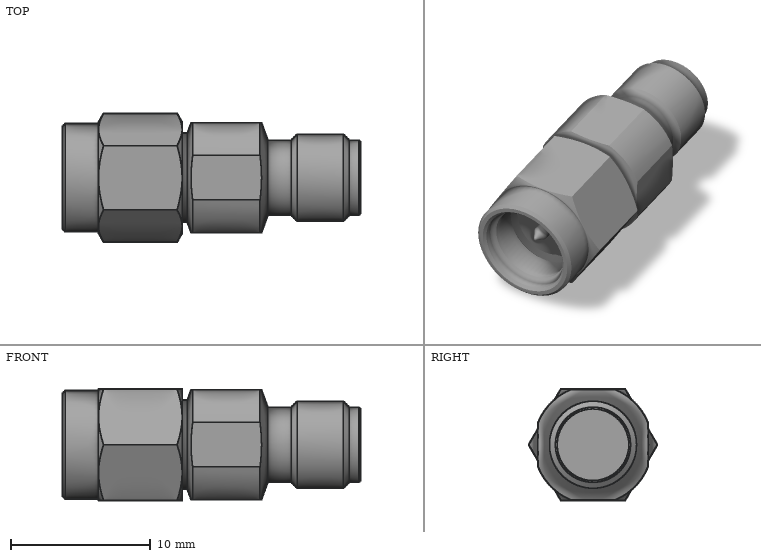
import cadquery as cq
import math

total_length = 21.4
nut_start = 2.6
nut_end = 8.6
body_start = 8.97
body_end = 14.75
thread_start = 16.41
thread_end = 20.59

collar_radius = 3.9
collar_chamfer = 0.21
hex_across_flats = 8.0
hex_face_radius = 3.98
hex_cone_slope = math.tan(math.radians(60))
neck_radius = 3.2

body_radius = 4.25
body_across_flats = 7.9
body_cone_slope = math.tan(math.radians(70))

shank_radius = 2.7
thread_radius = 3.12
thread_chamfer = thread_radius - shank_radius
tip_chamfer = 0.13

entry_radius = 3.19
entry_chamfer = 0.2
socket_radius = 2.87
entry_cone_start = 0.7
entry_cone_length = entry_radius - socket_radius
groove_start = 3.04
groove_radius = 3.19
groove_cone_length = groove_radius - socket_radius
floor_depth = 4.28
insert_radius = 2.3
insert_face = 3.17

pin_radius = 0.51
pin_tip_radius = 0.09
pin_start = 1.65
pin_cone_length = 0.77


def revolve_profile(points):
    """Revolve (x, radius) points about the X axis; the profile closes along the axis."""
    closed = [(points[0][0], 0), *points, (points[-1][0], 0)]
    return cq.Workplane("XY").polyline(closed).close().revolve(360, (0, 0, 0), (1, 0, 0))


def make_core():
    """Round collar, neck, shank and threaded jack end as one turned piece."""
    return revolve_profile([
        (0, collar_radius - collar_chamfer),
        (collar_chamfer, collar_radius),
        (nut_start, collar_radius),
        (nut_start, neck_radius),
        (body_start, neck_radius),
        (body_start, shank_radius),
        (thread_start, shank_radius),
        (thread_start + thread_chamfer, thread_radius),
        (thread_end - thread_chamfer, thread_radius),
        (thread_end, shank_radius),
        (total_length - tip_chamfer, shank_radius),
        (total_length, shank_radius - tip_chamfer),
    ])


def make_hexagon():
    """Hexagon with corners on the Y axis and conically chamfered ends."""
    corner_radius = hex_across_flats / math.sqrt(3)
    cone_length = (corner_radius - hex_face_radius) / hex_cone_slope
    prism = (
        cq.Workplane("YZ", origin=(nut_start, 0, 0))
        .polygon(6, 2 * corner_radius)
        .extrude(nut_end - nut_start)
    )
    envelope = revolve_profile([
        (nut_start, hex_face_radius),
        (nut_start + cone_length, corner_radius),
        (nut_end - cone_length, corner_radius),
        (nut_end, hex_face_radius),
    ])
    return prism.intersect(envelope)


def make_body():
    """Coned cylinder with flats on the Y and Z sides."""
    front_cone_length = (body_radius - neck_radius) / body_cone_slope
    rear_cone_length = (body_radius - shank_radius) / body_cone_slope
    turned = revolve_profile([
        (body_start, neck_radius),
        (body_start + front_cone_length, body_radius),
        (body_end - rear_cone_length, body_radius),
        (body_end, shank_radius),
    ])
    square_bar = (
        cq.Workplane("YZ", origin=(body_start, 0, 0))
        .rect(body_across_flats, body_across_flats)
        .extrude(body_end - body_start)
    )
    return turned.intersect(square_bar)


def make_socket():
    """Stepped bore in the plug end with a flared groove at its bottom."""
    return revolve_profile([
        (0, entry_radius + entry_chamfer),
        (entry_chamfer, entry_radius),
        (entry_cone_start, entry_radius),
        (entry_cone_start + entry_cone_length, socket_radius),
        (groove_start, socket_radius),
        (groove_start + groove_cone_length, groove_radius),
        (floor_depth, groove_radius),
    ])


def make_insert():
    """Raised round insert on the socket floor carrying the pointed centre pin."""
    return revolve_profile([
        (pin_start, pin_tip_radius),
        (pin_start + pin_cone_length, pin_radius),
        (insert_face, pin_radius),
        (insert_face, insert_radius),
        (floor_depth, insert_radius),
    ])


outside = make_core().union(make_hexagon()).union(make_body())
result = outside.cut(make_socket()).union(make_insert())